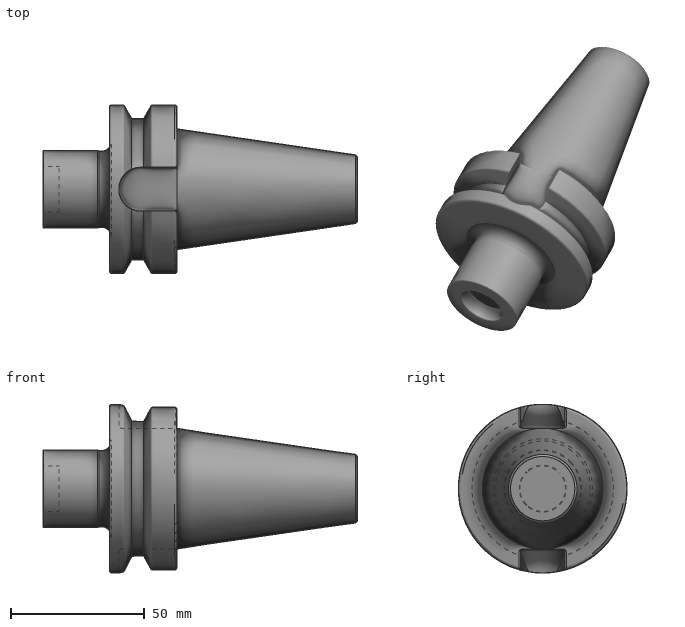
import cadquery as cq
import math

total_length = 117.4
shank_end = 20.3
relief_fillet_start = 22.0
flange_front = 24.8
groove_floor_start = 33.1
groove_floor_end = 37.6
flange_rear = 50.0

shank_radius = 29.0 / 2
neck_radius = 28.5 / 2
flange_radius = 63.0 / 2
groove_radius = 26.4
taper_large_radius = 45.1 / 2
taper_ratio = 7 / 24

relief_fillet = 3.5
relief_depth = relief_fillet_start + relief_fillet - flange_front
relief_outer_radius = 18.7
shank_step_length = 0.6
nose_chamfer = 0.2
taper_end_chamfer = 0.7
flange_edge_fillet = 1.0
groove_wall_angle = 60.0

bore_diameter = 17.0
bore_depth = 6.0
bore_chamfer = 0.2

slot_width = 16.4
slot_tip = 28.3
slot_floor_height = 22.5
slot_floor_fillet = 1.0
slot_rear_chamfer = 0.6
cut_clearance = 1.2


def make_body():
    """Revolve the shank, V-grooved flange and taper about the X axis."""
    groove_run = (flange_radius - groove_radius) / math.tan(math.radians(groove_wall_angle))
    taper_small_radius = taper_large_radius - (total_length - flange_rear) * taper_ratio / 2
    fillet_center_radius = neck_radius + relief_fillet
    half_diagonal = relief_fillet * math.sqrt(0.5)
    profile = (
        cq.Workplane("XY")
        .moveTo(0, 0)
        .lineTo(0, shank_radius - nose_chamfer)
        .lineTo(nose_chamfer, shank_radius)
        .lineTo(shank_end, shank_radius)
        .lineTo(shank_end + shank_step_length, neck_radius)
        .lineTo(relief_fillet_start, neck_radius)
        .threePointArc(
            (relief_fillet_start + half_diagonal, fillet_center_radius - half_diagonal),
            (flange_front + relief_depth, fillet_center_radius),
        )
        .lineTo(flange_front, relief_outer_radius)
        .lineTo(flange_front, flange_radius)
        .lineTo(groove_floor_start - groove_run, flange_radius)
        .lineTo(groove_floor_start, groove_radius)
        .lineTo(groove_floor_end, groove_radius)
        .lineTo(groove_floor_end + groove_run, flange_radius)
        .lineTo(flange_rear, flange_radius)
        .lineTo(flange_rear, taper_large_radius)
        .lineTo(total_length - taper_end_chamfer, taper_small_radius + taper_end_chamfer * taper_ratio / 2)
        .lineTo(total_length, taper_small_radius - taper_end_chamfer)
        .lineTo(total_length, 0)
        .close()
    )
    body = profile.revolve(360, (0, 0, 0), (1, 0, 0))
    rim_edges = cq.selectors.RadiusNthSelector(-1)
    return body.edges("%CIRCLE").edges(rim_edges).fillet(flange_edge_fillet)


def make_slot_cutter():
    """Round-ended slot with a filleted floor, flaring at 45 degrees through the flange rear."""
    tip_radius = slot_width / 2
    center_x = slot_tip + tip_radius
    flare_start = flange_rear - slot_rear_chamfer
    open_end = flange_rear + cut_clearance
    open_half_width = tip_radius + open_end - flare_start
    cutter = (
        cq.Workplane("XY")
        .workplane(offset=slot_floor_height)
        .moveTo(open_end, -open_half_width)
        .lineTo(flare_start, -tip_radius)
        .lineTo(center_x, -tip_radius)
        .threePointArc((slot_tip, 0), (center_x, tip_radius))
        .lineTo(flare_start, tip_radius)
        .lineTo(open_end, open_half_width)
        .close()
        .extrude(flange_radius - slot_floor_height + cut_clearance)
    )
    return cutter.faces("<Z").edges("not >X").fillet(slot_floor_fillet)


def make_bore():
    """Blind bore with a small chamfer at its mouth."""
    radius = bore_diameter / 2
    profile = (
        cq.Workplane("XY")
        .moveTo(0, 0)
        .lineTo(0, radius + bore_chamfer)
        .lineTo(bore_chamfer, radius)
        .lineTo(bore_depth, radius)
        .lineTo(bore_depth, 0)
        .close()
    )
    return profile.revolve(360, (0, 0, 0), (1, 0, 0))


result = make_body().cut(make_bore())
for slot_angle in (0, 180):
    result = result.cut(make_slot_cutter().rotate((0, 0, 0), (1, 0, 0), slot_angle))